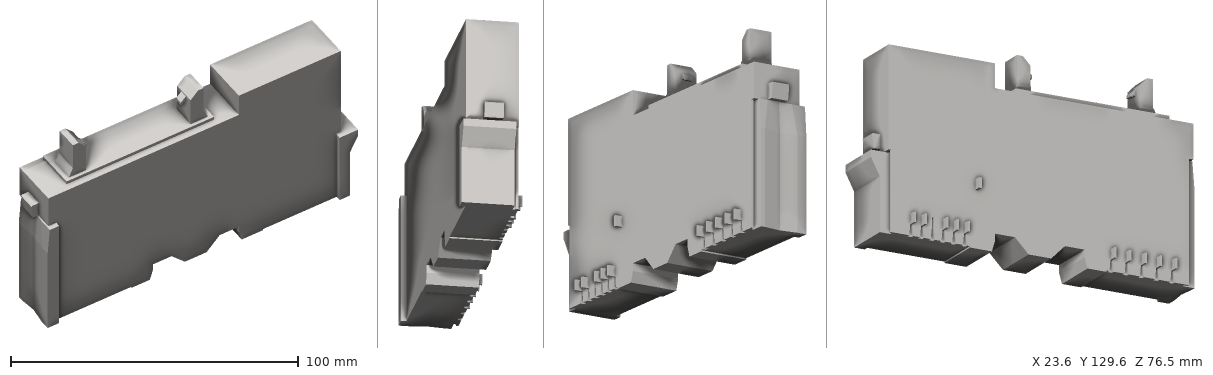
import cadquery as cq

BLADE_REACH = 2.9
MODULE_WIDTH = 18.7
FLANGE_SHIFT = 2.0
LEFT = BLADE_REACH
RIGHT = LEFT + MODULE_WIDTH
FLANGE_LEFT = LEFT + FLANGE_SHIFT
FLANGE_RIGHT = RIGHT + FLANGE_SHIFT

MODULE_FRONT = 3.1
MODULE_REAR = 123.7
SEAM_FRONT_Y = 10.2
SEAM_FRONT_Z = 30.2
SEAM_REAR_Z = 30.8
COLUMN_BACK = 8.7
COLUMN_FOOT_Z = 35.8
COLUMN_TOP = 47.0
COVER_TOP = 55.2

BASE_BOTTOM = 0.5
CORE_FRONT = 6.4
CORE_REAR = 122.0
LIP_THICKNESS = 0.9
FRONT_LIP_LENGTH = 1.5
REAR_LIP_LENGTH = 0.8
RAIL_ROOF = 6.7
RAIL_REAR = 81.7
RAIL_FRONT = 46.1
FOOT_FLARE_Z = 3.9
FOOT_FLARE = 1.2
FOOT_REAR = 91.5
FOOT_FRONT = 37.5
RIB_BOTTOM = 1.3
RIB_TOP_REAR = 73.8
RIB_TOP_FRONT = 53.9
RIB_SLOPE_RUN = 5.5
FLANGE_FRONT = 1.5
FLANGE_TOP_FRONT = 2.5
LEAN_START = 36.2
VALLEY_X = 13.1
VALLEY_DEPTH = 0.84
VALLEY_HALF_WIDTH = 6.6
VALLEY_TOP_DEPTH = 0.58
VALLEY_TOP_HALF_WIDTH = 5.0
REAR_FLANGE_BACK = 126.1
REAR_FLANGE_TOP = 30.3
TONGUE_TIP = 129.6
TONGUE_TIP_BOTTOM = 27.6
TONGUE_ROOT_BOTTOM = 21.0

BLADE_THICKNESS = 0.8
BLADE_HEIGHT = 3.9
SLOT_TOP = 8.5
SLOT_MOUTH = 1.7
SLOT_DEPTH = 1.3
REAR_SLOT_COUNT = 6
REAR_SLOT_START = 114.7
REAR_SLOT_END = 93.5
REAR_SLOT_PITCH = (REAR_SLOT_START - REAR_SLOT_END) / (REAR_SLOT_COUNT - 1)
EMPTY_REAR_SLOT = 2
FRONT_SLOT_COUNT = 5
FRONT_SLOT_START = 35.5
FRONT_SLOT_END = 11.4
FRONT_SLOT_PITCH = (FRONT_SLOT_START - FRONT_SLOT_END) / (FRONT_SLOT_COUNT - 1)
UPPER_BLADE_Y = 88.9
UPPER_BLADE_TOP = 25.4
UPPER_BLADE_THICKNESS = 1.2

CLIP_LEFT = 8.7
CLIP_WIDTH = 6.7
CLIP_CHAMFER = 0.4
FRONT_CLIP_TIP = 0
FRONT_CLIP_FOOT = 0.8
FRONT_CLIP_TOP = 53.3
FRONT_CLIP_BOTTOM = 47.5
REAR_CLIP_TIP = 127.2
REAR_CLIP_FOOT = 126.4
REAR_CLIP_TOP = 38.1
REAR_CLIP_BOTTOM = 32.5

CAP_TOP = 60.3
BLOCK_TOP = 69.5
BLOCK_FRONT = 81.7
FRAME_LEFT = 3.8
FRAME_RIGHT = 19.2
FRAME_LENGTH = 60.8
FRAME_TOP = 62.0
FRAME_MIDDLE = 42.5
FRAME_FRONT = FRAME_MIDDLE - FRAME_LENGTH / 2
FRAME_REAR = FRAME_MIDDLE + FRAME_LENGTH / 2
LAND_LEFT = 5.2
LAND_RISE = 0.4

LATCH_LEFT = 8.8
LATCH_RIGHT = 17.9
LATCH_SIDE_STEP = 0.4
STRIP_LENGTH = 57.3
ARM_INNER = 21.5
ARM_OUTER = 27.0
FOOT_TOP = 65.6
LATCH_TOP = 76.5
ARM_TOP_INNER = 24.6
ARM_BEVEL_Z = 73.4
HOOK_TIP = 19.5
HOOK_TOP = 72.8
HOOK_NOSE_TOP = 70.9
HOOK_UNDERSIDE = 70.3
HOOK_BARB_BOTTOM = 69.7
HOOK_BARB_LENGTH = 0.9
HOOK_LEFT = 11.9
HOOK_WIDTH = 3.0


def side_prism(outline, x_start, x_end):
    """Extrude a closed (Y, Z) outline along X."""
    return cq.Workplane("YZ", origin=(x_start, 0, 0)).polyline(outline).close().extrude(x_end - x_start)


def block(x_range, y_range, z_range):
    """Axis-aligned box between the given limits."""
    size = [high - low for low, high in (x_range, y_range, z_range)]
    corner = (x_range[0], y_range[0], z_range[0])
    return cq.Workplane("XY", origin=corner).box(*size, centered=False)


def seam_height(y):
    """Height of the sloping seam between base and cover."""
    slope = (SEAM_REAR_Z - SEAM_FRONT_Z) / (MODULE_REAR - SEAM_FRONT_Y)
    return SEAM_FRONT_Z + slope * (y - SEAM_FRONT_Y)


def base_core():
    """Full-width middle of the base with rail recess, centre rib and feet on its underside."""
    outline = [
        (CORE_FRONT, BASE_BOTTOM),
        (CORE_FRONT, COLUMN_TOP),
        (COLUMN_BACK, COLUMN_TOP),
        (COLUMN_BACK, COLUMN_FOOT_Z),
        (SEAM_FRONT_Y, SEAM_FRONT_Z),
        (CORE_REAR, seam_height(CORE_REAR)),
        (CORE_REAR, BASE_BOTTOM),
        (FOOT_REAR, BASE_BOTTOM),
        (FOOT_REAR, 0),
        (RAIL_REAR + FOOT_FLARE, 0),
        (RAIL_REAR, FOOT_FLARE_Z),
        (RAIL_REAR, RAIL_ROOF),
        (RIB_TOP_REAR, RAIL_ROOF),
        (RIB_TOP_REAR - RIB_SLOPE_RUN, RIB_BOTTOM),
        (RIB_TOP_FRONT + RIB_SLOPE_RUN, RIB_BOTTOM),
        (RIB_TOP_FRONT, RAIL_ROOF),
        (RAIL_FRONT, RAIL_ROOF),
        (RAIL_FRONT, FOOT_FLARE_Z),
        (RAIL_FRONT - FOOT_FLARE, 0),
        (FOOT_FRONT, 0),
        (FOOT_FRONT, BASE_BOTTOM),
    ]
    return side_prism(outline, LEFT, RIGHT)


def front_flange_section(front, valley_half_width, valley_depth):
    """Plan outline of the front flange with the V in its front face."""
    return [
        (FLANGE_LEFT, CORE_FRONT),
        (FLANGE_LEFT, front),
        (VALLEY_X - valley_half_width, front),
        (VALLEY_X, front + valley_depth),
        (VALLEY_X + valley_half_width, front),
        (FLANGE_RIGHT, front),
        (FLANGE_RIGHT, CORE_FRONT),
    ]


def front_flange():
    """Front flange: straight below, leaning back and with a narrower V above."""
    straight = front_flange_section(FLANGE_FRONT, VALLEY_HALF_WIDTH, VALLEY_DEPTH)
    top = front_flange_section(FLANGE_TOP_FRONT, VALLEY_TOP_HALF_WIDTH, VALLEY_TOP_DEPTH)
    lower_part = (
        cq.Workplane("XY", origin=(0, 0, BASE_BOTTOM))
        .polyline(straight).close()
        .extrude(LEAN_START - BASE_BOTTOM)
    )
    upper_part = (
        cq.Workplane("XY", origin=(0, 0, LEAN_START))
        .polyline(straight).close()
        .workplane(offset=COLUMN_TOP - LEAN_START)
        .polyline(top).close()
        .loft(ruled=True)
    )
    return lower_part.union(upper_part)


def rear_flange():
    """Rear flange with a release tongue along its top."""
    outline = [
        (CORE_REAR, BASE_BOTTOM),
        (CORE_REAR, REAR_FLANGE_TOP),
        (TONGUE_TIP, REAR_FLANGE_TOP),
        (TONGUE_TIP, TONGUE_TIP_BOTTOM),
        (REAR_FLANGE_BACK, TONGUE_ROOT_BOTTOM),
        (REAR_FLANGE_BACK, BASE_BOTTOM),
    ]
    return side_prism(outline, FLANGE_LEFT, FLANGE_RIGHT)


def side_lips():
    """Thin lips that carry the left side past both ends of the core."""
    lip_x = (LEFT, LEFT + LIP_THICKNESS)
    front_lip = block(lip_x, (CORE_FRONT - FRONT_LIP_LENGTH, CORE_FRONT), (BASE_BOTTOM, COLUMN_TOP))
    rear_lip = block(lip_x, (CORE_REAR, CORE_REAR + REAR_LIP_LENGTH), (BASE_BOTTOM, seam_height(CORE_REAR)))
    return front_lip, rear_lip


def contact_slot(y):
    """Slot in the left side, straight at blade height and flaring to the underside."""
    half_top = BLADE_THICKNESS / 2
    half_mouth = SLOT_MOUTH / 2
    outline = [
        (y - half_top, SLOT_TOP),
        (y + half_top, SLOT_TOP),
        (y + half_top, SLOT_TOP - BLADE_HEIGHT),
        (y + half_mouth, BASE_BOTTOM),
        (y - half_mouth, BASE_BOTTOM),
        (y - half_top, SLOT_TOP - BLADE_HEIGHT),
    ]
    return side_prism(outline, LEFT, LEFT + SLOT_DEPTH)


def contact_blade(y, top, thickness):
    """Blade rooted at slot depth and standing out of the left side."""
    y_range = (y - thickness / 2, y + thickness / 2)
    return block((0, LEFT + SLOT_DEPTH), y_range, (top - BLADE_HEIGHT, top))


def build_base():
    base = base_core().union(front_flange()).union(rear_flange())
    for lip in side_lips():
        base = base.union(lip)
    rear_slots = [REAR_SLOT_START - i * REAR_SLOT_PITCH for i in range(REAR_SLOT_COUNT)]
    front_slots = [FRONT_SLOT_START - i * FRONT_SLOT_PITCH for i in range(FRONT_SLOT_COUNT)]
    empty_slot = rear_slots[EMPTY_REAR_SLOT]
    for y in rear_slots + front_slots:
        base = base.cut(contact_slot(y))
        if y != empty_slot:
            base = base.union(contact_blade(y, SLOT_TOP, BLADE_THICKNESS))
    return base.union(contact_blade(UPPER_BLADE_Y, UPPER_BLADE_TOP, UPPER_BLADE_THICKNESS))


def end_clip(wall, tip, foot, top, bottom):
    """Clip on an end wall, tapering from its chamfered top edge to a shorter foot."""
    outward = 1 if tip > wall else -1
    outline = [
        (wall, top),
        (tip - outward * CLIP_CHAMFER, top),
        (tip, top - CLIP_CHAMFER),
        (foot, bottom),
        (wall, bottom),
    ]
    return side_prism(outline, CLIP_LEFT, CLIP_LEFT + CLIP_WIDTH)


def build_cover():
    outline = [
        (MODULE_REAR, SEAM_REAR_Z),
        (SEAM_FRONT_Y, SEAM_FRONT_Z),
        (COLUMN_BACK, COLUMN_FOOT_Z),
        (COLUMN_BACK, COLUMN_TOP),
        (MODULE_FRONT, COLUMN_TOP),
        (MODULE_FRONT, COVER_TOP),
        (MODULE_REAR, COVER_TOP),
    ]
    front_clip = end_clip(MODULE_FRONT, FRONT_CLIP_TIP, FRONT_CLIP_FOOT, FRONT_CLIP_TOP, FRONT_CLIP_BOTTOM)
    rear_clip = end_clip(MODULE_REAR, REAR_CLIP_TIP, REAR_CLIP_FOOT, REAR_CLIP_TOP, REAR_CLIP_BOTTOM)
    return side_prism(outline, LEFT, RIGHT).union(front_clip).union(rear_clip)


def frame_land():
    """Land rising gently from the cap edges to the frame."""
    lower = [
        (LAND_LEFT, MODULE_FRONT),
        (RIGHT, MODULE_FRONT),
        (RIGHT, BLOCK_FRONT),
        (LAND_LEFT, BLOCK_FRONT),
    ]
    upper = [
        (LAND_LEFT, FRAME_FRONT),
        (FRAME_RIGHT, FRAME_FRONT),
        (FRAME_RIGHT, FRAME_REAR),
        (LAND_LEFT, FRAME_REAR),
    ]
    return (
        cq.Workplane("XY", origin=(0, 0, CAP_TOP))
        .polyline(lower).close()
        .workplane(offset=LAND_RISE)
        .polyline(upper).close()
        .loft(ruled=True)
    )


def bracket_strip():
    """Flat strip that joins the two latches and lies flush in the frame."""
    y_range = (FRAME_MIDDLE - STRIP_LENGTH / 2, FRAME_MIDDLE + STRIP_LENGTH / 2)
    return block((LATCH_LEFT, LATCH_RIGHT), y_range, (CAP_TOP, FRAME_TOP))


def build_cap():
    outline = [
        (MODULE_FRONT, COVER_TOP),
        (MODULE_FRONT, CAP_TOP),
        (BLOCK_FRONT, CAP_TOP),
        (BLOCK_FRONT, BLOCK_TOP),
        (MODULE_REAR, BLOCK_TOP),
        (MODULE_REAR, COVER_TOP),
    ]
    frame = block((FRAME_LEFT, FRAME_RIGHT), (FRAME_FRONT, FRAME_REAR), (CAP_TOP, FRAME_TOP))
    return side_prism(outline, LEFT, RIGHT).union(frame_land()).union(frame).cut(bracket_strip())


def latch(side):
    """One latch: flared foot, bevelled arm and inward hook; side is +1 at the rear, -1 at the front."""
    def place(points):
        return [(FRAME_MIDDLE + side * distance, z) for distance, z in points]

    foot = [
        (ARM_INNER, FRAME_TOP),
        (ARM_INNER, FOOT_TOP),
        (ARM_OUTER, FOOT_TOP),
        (STRIP_LENGTH / 2, FRAME_TOP),
    ]
    arm = [
        (ARM_INNER, FOOT_TOP),
        (ARM_INNER, ARM_BEVEL_Z),
        (ARM_TOP_INNER, LATCH_TOP),
        (ARM_OUTER, LATCH_TOP),
        (ARM_OUTER, FOOT_TOP),
    ]
    hook = [
        (ARM_INNER, HOOK_TOP),
        (HOOK_TIP, HOOK_NOSE_TOP),
        (HOOK_TIP, HOOK_BARB_BOTTOM),
        (HOOK_TIP + HOOK_BARB_LENGTH, HOOK_BARB_BOTTOM),
        (HOOK_TIP + HOOK_BARB_LENGTH, HOOK_UNDERSIDE),
        (ARM_INNER, HOOK_UNDERSIDE),
    ]
    foot_solid = side_prism(place(foot), LATCH_LEFT, LATCH_RIGHT)
    arm_solid = side_prism(place(arm), LATCH_LEFT + LATCH_SIDE_STEP, LATCH_RIGHT)
    hook_solid = side_prism(place(hook), HOOK_LEFT, HOOK_LEFT + HOOK_WIDTH)
    return foot_solid.union(arm_solid).union(hook_solid)


def build_latch_bracket():
    bracket = bracket_strip()
    for side in (1, -1):
        bracket = bracket.union(latch(side))
    return bracket


base = build_base()
cover = build_cover()
cap = build_cap()
latch_bracket = build_latch_bracket()

bodies = [base, cover, cap, latch_bracket]
result = cq.Compound.makeCompound([body.solids().val() for body in bodies])